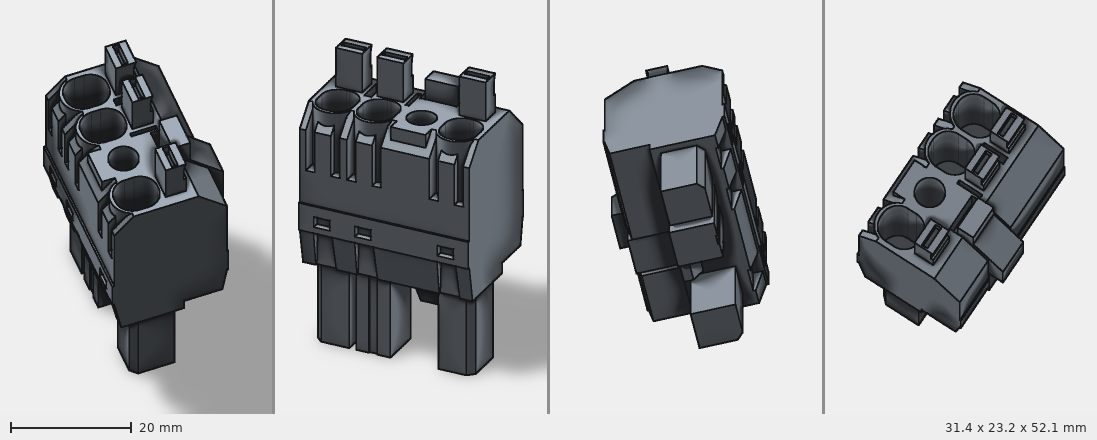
import cadquery as cq


pitch = 7.6
wire_positions = [-1.5 * pitch, -0.5 * pitch, 1.5 * pitch]
latch_x = 0.5 * pitch

housing_width = 31.35
housing_top = 44.8
housing_bottom = 15.55
band_top = 27.4
band_bottom = 22.35
band_back = 20.65
front_face = 0.35
back_face = 20.45
back_chamfer = 5.05
taper_front = 1.6
taper_back = 19.6
raised_bottom = 17.45
slot_front = 12.75
slot_width = 6.8
front_chamfer_depth = 3.45
front_chamfer_height = 3.65

entry_y = 5.95
entry_width = 6.65
entry_length = 7.7
entry_corner = 3.0
entry_depth = 20.85
collar_radius = 3.75
collar_y = entry_y - (entry_length / 2 - entry_corner)
relief_outer = 3.15
relief_inner = 1.5
relief_bottom = 33.6

screw_y = 6.6
screw_radius = 1.75
counterbore_radius = 2.55
counterbore_depth = 20.85
boss_width = 6.45
boss_front = 1.5

window_width = 2.95
window_bottom = 23.5
window_top = 25.45
window_depth = 1.25
recess_top_width = 3.45
recess_bottom_width = 3.8
recess_floor = 2.05
vent_front = 9.55
vent_back = 14.1
vent_width = 1.3
vent_depth = 10.4

prong_width = 6.35
prong_front = 3.85
prong_back = 11.5
keyed_prong_back = 11.1
prong_chamfer = 1.15
prong_groove_width = 1.55
prong_groove_depth = 0.25

hook_width = 4.05
hook_back = 12.1
hook_shank_front = 9.4
hook_tip_front = 8.75
hook_end_front = 10.4
hook_end = 8.2
hook_slope_top = 11.05
hook_ledge = 11.3

button_width = 4.85
button_front = 10.2
button_back = 13.9
button_top = 52.1
button_step = 48.15
grip_top_back = 13.85
grip_depth_back = 13.45
grip_arc_bottom = 50.0
grip_arc_middle = (13.55, 51.15)
driver_slot_length = 4.1
driver_slot_width = 1.1
driver_slot_y = 12.0
driver_slot_depth = 2.1

latch_width = 6.15
latch_bottom = 18.15
latch_back = 23.2
latch_pad_bottom = 29.75
latch_pad_top = 37.1
latch_slope_top = 43.15
latch_arm_back = 17.3
latch_arm_front = 14.15
latch_top = 47.8
latch_foot_top = 39.1


def block(x_range, y_range, z_range):
    """Box between pairs of coordinates."""
    (x0, x1), (y0, y1), (z0, z1) = x_range, y_range, z_range
    return cq.Workplane("XY").box(x1 - x0, y1 - y0, z1 - z0, centered=False).translate((x0, y0, z0))


def centred(x, width):
    """Range of the given width centred on x."""
    return (x - width / 2, x + width / 2)


def across(outline, x, width):
    """Outline of (y, z) points extruded along X, centred on x."""
    return cq.Workplane("YZ").polyline(outline).close().extrude(width / 2, both=True).translate((x, 0, 0))


def upright_cylinder(x, y, radius, bottom, top):
    return cq.Workplane("XY", origin=(x, y, bottom)).circle(radius).extrude(top - bottom)


def make_shell():
    """Housing outline, still square along its front top edge."""
    outline = [
        (front_face, housing_top),
        (front_face, band_top),
        (0, band_top),
        (0, band_bottom),
        (front_face, band_bottom),
        (taper_front, housing_bottom),
        (slot_front, housing_bottom),
        (slot_front, raised_bottom),
        (taper_back, raised_bottom),
        (back_face, band_bottom),
        (band_back, band_bottom),
        (band_back, band_top),
        (back_face, band_top),
        (back_face, housing_top - back_chamfer),
        (back_face - back_chamfer, housing_top),
    ]
    return across(outline, 0, housing_width)


def make_collars():
    """Round walls around the wire entries, used to limit the cuts in front of them."""
    collars = cq.Workplane("XY")
    for x in wire_positions:
        collars = collars.add(upright_cylinder(x, collar_y, collar_radius, relief_bottom, housing_top))
    return collars.combine()


def front_chamfer_cut(collars):
    """Sloped cut along the front top edge that leaves the collars and the screw boss standing."""
    slope = [
        (front_face, housing_top - front_chamfer_height),
        (front_face, housing_top),
        (front_face + front_chamfer_depth, housing_top),
    ]
    boss = block(
        centred(latch_x, boss_width),
        (boss_front, front_face + front_chamfer_depth),
        (housing_top - front_chamfer_height, housing_top),
    )
    return across(slope, 0, housing_width).cut(collars).cut(boss)


def relief_cut(x, collars):
    """Pair of vertical slots in front of a collar, with a rib left between them."""
    y_range = (0, collar_y)
    z_range = (relief_bottom, housing_top)
    slots = block((x - relief_outer, x + relief_outer), y_range, z_range)
    rib = block((x - relief_inner, x + relief_inner), y_range, z_range)
    return slots.cut(rib).cut(collars)


def entry_cut(x):
    entry = block(
        centred(x, entry_width),
        centred(entry_y, entry_length),
        (housing_top - entry_depth, housing_top),
    )
    return entry.edges("|Z").fillet(entry_corner)


def window_cut(x):
    return block(centred(x, window_width), (0, window_depth), (window_bottom, window_top))


def taper_recess_cut(x):
    """Upright recess in the front taper, slightly wider at the underside."""
    half_top = recess_top_width / 2
    half_bottom = recess_bottom_width / 2
    outline = [
        (x - half_top, band_bottom),
        (x + half_top, band_bottom),
        (x + half_bottom, housing_bottom),
        (x - half_bottom, housing_bottom),
    ]
    return cq.Workplane("XZ").polyline(outline).close().extrude(-recess_floor)


def screw_cut():
    hole = upright_cylinder(latch_x, screw_y, screw_radius, housing_bottom, housing_top)
    counterbore = upright_cylinder(
        latch_x, screw_y, counterbore_radius, housing_top - counterbore_depth, housing_top
    )
    return hole.union(counterbore)


def vent_cuts():
    """Narrow top slots midway between positions; the second is only the left half of a slot."""
    y_range = (vent_front, vent_back)
    z_range = (housing_top - vent_depth, housing_top)
    full_vent = block(centred(-pitch, vent_width), y_range, z_range)
    half_vent = block((-vent_width / 2, 0), y_range, z_range)
    return full_vent.add(half_vent).combine()


def latch_slot_cut():
    return block(
        centred(latch_x, slot_width), (slot_front, band_back), (housing_bottom, housing_top)
    )


def make_prong(x, back):
    return block(centred(x, prong_width), (prong_front, back), (0, housing_bottom))


def make_prongs():
    """Three prongs keyed by a left chamfer, a front groove and a right chamfer."""
    left_x, middle_x, right_x = wire_positions
    left = make_prong(left_x, keyed_prong_back).edges("|Z and <X and <Y").chamfer(prong_chamfer)
    right = make_prong(right_x, prong_back).edges("|Z and >X and <Y").chamfer(prong_chamfer)
    groove = block(
        centred(middle_x, prong_groove_width),
        (prong_front, prong_front + prong_groove_depth),
        (0, housing_bottom),
    )
    middle = make_prong(middle_x, prong_back).cut(groove)
    return [left, middle, right]


def make_hook():
    outline = [
        (hook_back, housing_bottom),
        (hook_shank_front, housing_bottom),
        (hook_shank_front, hook_ledge),
        (hook_tip_front, hook_ledge),
        (hook_tip_front, hook_slope_top),
        (hook_end_front, hook_end),
        (hook_back, hook_end),
    ]
    return across(outline, latch_x, hook_width)


def make_housing():
    collars = make_collars()
    body = make_shell().cut(front_chamfer_cut(collars))
    for x in wire_positions:
        body = body.cut(relief_cut(x, collars))
        body = body.cut(entry_cut(x))
        body = body.cut(window_cut(x))
        body = body.cut(taper_recess_cut(x))
    body = body.cut(screw_cut()).cut(vent_cuts()).cut(latch_slot_cut())
    for prong in make_prongs():
        body = body.union(prong)
    return body.union(make_hook())


def make_button(x):
    """Push button standing on the housing top, with a finger grip and a screwdriver slot."""
    body = (
        cq.Workplane("YZ")
        .moveTo(button_front, housing_top)
        .lineTo(button_front, button_top)
        .lineTo(grip_top_back, button_top)
        .threePointArc(grip_arc_middle, (grip_depth_back, grip_arc_bottom))
        .lineTo(grip_depth_back, button_step)
        .lineTo(button_back, button_step)
        .lineTo(button_back, housing_top)
        .close()
        .extrude(button_width / 2, both=True)
        .translate((x, 0, 0))
    )
    driver_slot = block(
        centred(x, driver_slot_length),
        centred(driver_slot_y, driver_slot_width),
        (button_top - driver_slot_depth, button_top),
    )
    return body.cut(driver_slot)


def make_latch():
    """Locking latch: foot against the slot wall, pad behind the housing and arm above it."""
    outline = [
        (slot_front, latch_bottom),
        (back_face, latch_bottom),
        (back_face, latch_pad_bottom),
        (latch_back, latch_pad_bottom),
        (latch_back, latch_pad_top),
        (latch_arm_back, latch_slope_top),
        (latch_arm_back, latch_top),
        (latch_arm_front, latch_top),
        (latch_arm_front, latch_foot_top),
        (slot_front, latch_foot_top),
    ]
    return across(outline, latch_x, latch_width)


housing = make_housing()
buttons = [make_button(x) for x in wire_positions]
latch = make_latch()

result = cq.Compound.makeCompound([housing.val(), *[button.val() for button in buttons], latch.val()])